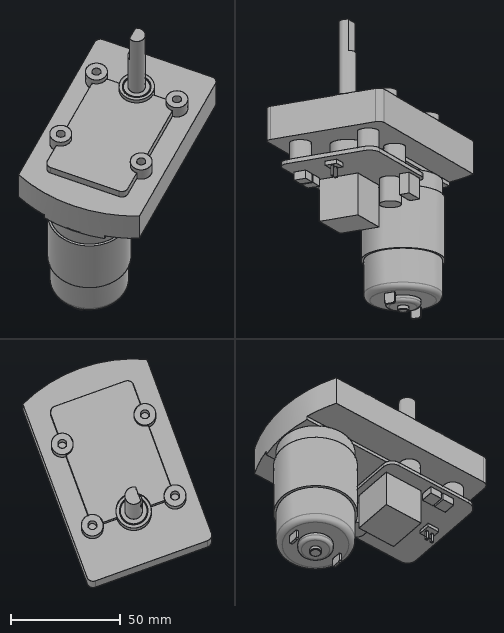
import cadquery as cq

HOUSING_WIDTH = 60.1
HOUSING_HEIGHT = 16.0
HOUSING_BACK_Y = 23.5
HOUSING_SIDE_END_Y = -64.7
HOUSING_NOSE_Y = -71.3
HOUSING_CORNER_RADIUS = 3.0

COVER_WIDTH = 40.0
COVER_LENGTH = 57.9
COVER_THICKNESS = 3.9
COVER_CORNER_RADIUS = 3.0

BOSS_DIAMETER = 10.0
BOSS_HEIGHT = 6.6
BOSS_HOLE_DIAMETER = 4.0
BOSS_PITCH = 40.0

BEARING_DIAMETER = 16.1
BEARING_TOP_HEIGHT = 6.0
BEARING_BOTTOM_DEPTH = 8.6
GROOVE_OUTER_DIAMETER = 12.9
GROOVE_INNER_DIAMETER = 12.2
GROOVE_DEPTH = 0.6

MOTOR_PAD_WIDTH = 30.0
MOTOR_PAD_THICKNESS = 2.0
MOTOR_PAD_BACK_Y = -12.5

STANDOFF_DIAMETER = 10.0
STANDOFF_LENGTH = 10.0
STANDOFF_PITCH_X = 35.0
STANDOFF_PITCH_Y = 25.1

SHAFT_DIAMETER = 8.0
SHAFT_PROJECTION = 42.9
FLAT_LENGTH = 15.0
FLAT_OFFSET = 2.2

MOTOR_Y = -53.0
CAN_DIAMETER = 35.9
CAN_LENGTH = 57.1
CAN_EDGE_RADIUS = 2.8
SLEEVE_DIAMETER = 38.1
SLEEVE_LENGTH = 29.9
SLEEVE_START = 8.1
END_BEARING_DIAMETER = 16.2
END_BEARING_HEIGHT = 3.1
END_BEARING_EDGE_RADIUS = 1.7
SHAFT_END_DIAMETER = 5.3
SHAFT_END_HEIGHT = 2.0
SHAFT_END_CHAMFER = 0.4
TERMINAL_WIDTH = 5.0
TERMINAL_THICKNESS = 1.1
TERMINAL_PITCH = 25.0
TERMINAL_CHAMFER = 0.6
TERMINAL_LENGTH = END_BEARING_HEIGHT + SHAFT_END_HEIGHT

BOARD_WIDTH = 50.0
BOARD_LENGTH = 50.4
BOARD_THICKNESS = 2.0
BOARD_CENTER_Y = -4.3
BOARD_CORNER_RADIUS = 5.0

SIDE_BLOCK_WIDTH = 5.0
SIDE_BLOCK_HEIGHT = 10.0
CAPACITOR_DIAMETER = 10.0
CAPACITOR_HEIGHT = 11.9
CAPACITOR_X = -10.6
RELAY_SIZE = 20.0
RELAY_LEFT_X = -2.0
COMPONENT_EDGE_X = 23.0
COMPONENT_FRONT_Y = -26.3
CHIP_SIZE = 6.2
CHIP_HEIGHT = 3.9
CHIP_CENTERS_Y = (5.7, -1.4)
HEADER_SIZE = 6.0
HEADER_HEIGHT = 2.0
HEADER_Y = 12.8
PIN_SIZE = 1.1
PIN_LENGTH = 4.9
PIN_PITCH = 3.0

HOUSING_TOP_Z = HOUSING_HEIGHT
MOTOR_TOP_Z = -MOTOR_PAD_THICKNESS
MOTOR_BOTTOM_Z = MOTOR_TOP_Z - CAN_LENGTH
BOARD_TOP_Z = -STANDOFF_LENGTH
BOARD_BOTTOM_Z = BOARD_TOP_Z - BOARD_THICKNESS


def cylinder(diameter, x, y, bottom_z, height):
    """Upright cylinder standing on bottom_z."""
    return cq.Workplane("XY", origin=(x, y, bottom_z)).circle(diameter / 2).extrude(height)


def box_below(size_x, size_y, height, x, y, top_z):
    """Box centered on (x, y) that hangs down from top_z."""
    return cq.Workplane("XY", origin=(x, y, top_z)).rect(size_x, size_y).extrude(-height)


def grid_points(pitch_x, pitch_y, center_y):
    """The four corners of a rectangle centered on (0, center_y)."""
    return [(sx * pitch_x / 2, center_y + sy * pitch_y / 2) for sx in (-1, 1) for sy in (-1, 1)]


def housing_block(bottom_z, top_z):
    """Body of the gearbox: straight sides, rounded back corners and a curved nose."""
    half = HOUSING_WIDTH / 2
    return (
        cq.Workplane("XY", origin=(0, 0, bottom_z))
        .moveTo(-half, HOUSING_SIDE_END_Y)
        .threePointArc((0, HOUSING_NOSE_Y), (half, HOUSING_SIDE_END_Y))
        .lineTo(half, HOUSING_BACK_Y)
        .lineTo(-half, HOUSING_BACK_Y)
        .close()
        .extrude(top_z - bottom_z)
        .edges("|Z and >Y")
        .fillet(HOUSING_CORNER_RADIUS)
    )


def motor_pad():
    """Raised strip under the nose that carries the motor; it follows the curve of the nose."""
    pad_length = MOTOR_PAD_BACK_Y - HOUSING_NOSE_Y
    pad_center_y = (MOTOR_PAD_BACK_Y + HOUSING_NOSE_Y) / 2
    strip = box_below(MOTOR_PAD_WIDTH, pad_length, MOTOR_PAD_THICKNESS, 0, pad_center_y, 0)
    return strip.intersect(housing_block(-MOTOR_PAD_THICKNESS, 0))


def cover_plate():
    """Plate on top of the housing, from the shaft axis toward the nose."""
    return (
        cq.Workplane("XY", origin=(0, -COVER_LENGTH / 2, HOUSING_TOP_Z))
        .rect(COVER_WIDTH, COVER_LENGTH)
        .extrude(COVER_THICKNESS)
        .edges("|Z and <Y")
        .fillet(COVER_CORNER_RADIUS)
    )


def bearing_groove():
    """Thin ring groove in the top face of the bearing collar."""
    return (
        cq.Workplane("XY", origin=(0, 0, HOUSING_TOP_Z + BEARING_TOP_HEIGHT))
        .circle(GROOVE_OUTER_DIAMETER / 2)
        .circle(GROOVE_INNER_DIAMETER / 2)
        .extrude(-GROOVE_DEPTH)
    )


def make_housing():
    body = housing_block(0, HOUSING_TOP_Z).union(motor_pad()).union(cover_plate())

    body = body.union(cylinder(BEARING_DIAMETER, 0, 0, HOUSING_TOP_Z, BEARING_TOP_HEIGHT))
    body = body.union(cylinder(BEARING_DIAMETER, 0, 0, -BEARING_BOTTOM_DEPTH, BEARING_BOTTOM_DEPTH))
    body = body.cut(bearing_groove())

    for x, y in grid_points(BOSS_PITCH, BOSS_PITCH, -BOSS_PITCH / 2):
        body = body.union(cylinder(BOSS_DIAMETER, x, y, HOUSING_TOP_Z, BOSS_HEIGHT))
        body = body.cut(cylinder(BOSS_HOLE_DIAMETER, x, y, HOUSING_TOP_Z, BOSS_HEIGHT))

    for x, y in grid_points(STANDOFF_PITCH_X, STANDOFF_PITCH_Y, 0):
        body = body.union(cylinder(STANDOFF_DIAMETER, x, y, BOARD_TOP_Z, STANDOFF_LENGTH))

    return body.cut(cylinder(SHAFT_DIAMETER, 0, 0, 0, HOUSING_TOP_Z + BEARING_TOP_HEIGHT))


def make_output_shaft():
    shaft_length = HOUSING_TOP_Z + SHAFT_PROJECTION
    shaft = cylinder(SHAFT_DIAMETER, 0, 0, 0, shaft_length)
    flat_cutter = box_below(
        SHAFT_DIAMETER, SHAFT_DIAMETER, FLAT_LENGTH,
        -FLAT_OFFSET - SHAFT_DIAMETER / 2, 0, shaft_length,
    )
    return shaft.cut(flat_cutter)


def make_motor():
    can = cylinder(CAN_DIAMETER, 0, MOTOR_Y, MOTOR_BOTTOM_Z, CAN_LENGTH)
    can = can.faces("<Z").edges().fillet(CAN_EDGE_RADIUS)

    sleeve_bottom_z = MOTOR_TOP_Z - SLEEVE_START - SLEEVE_LENGTH
    sleeve = cylinder(SLEEVE_DIAMETER, 0, MOTOR_Y, sleeve_bottom_z, SLEEVE_LENGTH)

    end_bearing_z = MOTOR_BOTTOM_Z - END_BEARING_HEIGHT
    end_bearing = cylinder(END_BEARING_DIAMETER, 0, MOTOR_Y, end_bearing_z, END_BEARING_HEIGHT)
    end_bearing = end_bearing.faces("<Z").edges().fillet(END_BEARING_EDGE_RADIUS)

    shaft_end_z = end_bearing_z - SHAFT_END_HEIGHT
    shaft_end = cylinder(SHAFT_END_DIAMETER, 0, MOTOR_Y, shaft_end_z, SHAFT_END_HEIGHT)
    shaft_end = shaft_end.faces("<Z").edges().chamfer(SHAFT_END_CHAMFER)

    motor = can.union(sleeve).union(end_bearing).union(shaft_end)
    for side in (-1, 1):
        terminal = box_below(
            TERMINAL_WIDTH, TERMINAL_THICKNESS, TERMINAL_LENGTH,
            0, MOTOR_Y + side * TERMINAL_PITCH / 2, MOTOR_BOTTOM_Z,
        )
        motor = motor.union(terminal.faces("<Z").edges("|Y").chamfer(TERMINAL_CHAMFER))
    return motor


def make_circuit_board():
    board = box_below(BOARD_WIDTH, BOARD_LENGTH, BOARD_THICKNESS, 0, BOARD_CENTER_Y, BOARD_TOP_Z)
    board = board.edges("|Z").fillet(BOARD_CORNER_RADIUS)

    small_part_y = COMPONENT_FRONT_Y + CAPACITOR_DIAMETER / 2
    board = board.union(box_below(
        SIDE_BLOCK_WIDTH, CAPACITOR_DIAMETER, SIDE_BLOCK_HEIGHT,
        -COMPONENT_EDGE_X + SIDE_BLOCK_WIDTH / 2, small_part_y, BOARD_BOTTOM_Z,
    ))
    board = board.union(cylinder(
        CAPACITOR_DIAMETER, CAPACITOR_X, small_part_y,
        BOARD_BOTTOM_Z - CAPACITOR_HEIGHT, CAPACITOR_HEIGHT,
    ))

    board = board.union(box_below(
        RELAY_SIZE, RELAY_SIZE, RELAY_SIZE,
        RELAY_LEFT_X + RELAY_SIZE / 2, COMPONENT_FRONT_Y + RELAY_SIZE / 2, BOARD_BOTTOM_Z,
    ))

    for y in CHIP_CENTERS_Y:
        board = board.union(box_below(
            CHIP_SIZE, CHIP_SIZE, CHIP_HEIGHT, COMPONENT_EDGE_X - CHIP_SIZE / 2, y, BOARD_BOTTOM_Z,
        ))

    board = board.union(box_below(
        HEADER_SIZE, HEADER_SIZE, HEADER_HEIGHT, 0, HEADER_Y, BOARD_BOTTOM_Z,
    ))
    for side in (-1, 1):
        board = board.union(box_below(
            PIN_SIZE, PIN_SIZE, PIN_LENGTH,
            0, HEADER_Y + side * PIN_PITCH / 2, BOARD_BOTTOM_Z - HEADER_HEIGHT,
        ))
    return board


housing = make_housing()
output_shaft = make_output_shaft()
motor = make_motor()
circuit_board = make_circuit_board()

result = cq.Compound.makeCompound(
    [housing.val(), output_shaft.val(), motor.val(), circuit_board.val()]
)